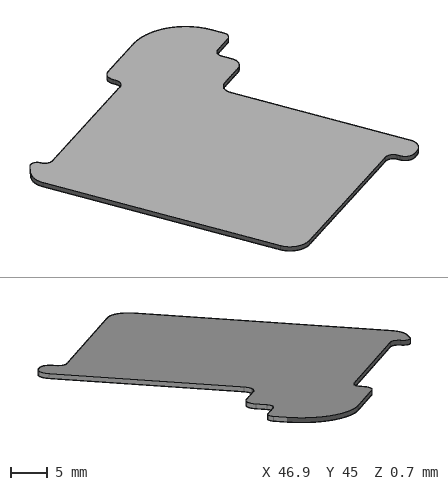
import cadquery as cq
import math

length = 46.86
width = 45.02
thickness = 0.7

panel_left = 3.17
panel_right = 43.7
panel_top = 31.9
shoulder_height = 27.7

arm_top_right = 11.05
arm_step_right = 15.6
arm_step_top = 39.65

foot_top = 4.38
foot_slope_start = 2.7
foot_slope_angle = 60.0
foot_slope_run = foot_top / math.tan(math.radians(foot_slope_angle))

arm_round = 8.0
panel_round = 3.0
tab_top_round = 2.0
shoulder_round = 1.5
arm_step_round = 1.8
small_round = 1.2
arm_tip_round = 1.1
foot_tip_round = 1.0

corners = [
    (foot_slope_start, 0, panel_round),
    (panel_right, 0, panel_round),
    (panel_right, shoulder_height, small_round),
    (length, shoulder_height, shoulder_round),
    (length, panel_top, tab_top_round),
    (arm_step_right, panel_top, arm_step_round),
    (arm_step_right, arm_step_top, arm_step_round),
    (arm_top_right, arm_step_top, small_round),
    (arm_top_right, width, arm_tip_round),
    (0, width, arm_round),
    (0, shoulder_height, shoulder_round),
    (panel_left, shoulder_height, small_round),
    (panel_left, foot_top, small_round),
    (foot_slope_start - foot_slope_run, foot_top, foot_tip_round),
]


def corner_arc(before, corner, after):
    """Return the start, middle and end of the arc that rounds a corner."""
    point = cq.Vector(corner[0], corner[1])
    radius = corner[2]
    to_before = (cq.Vector(before[0], before[1]) - point).normalized()
    to_after = (cq.Vector(after[0], after[1]) - point).normalized()
    half_angle = to_before.getAngle(to_after) / 2
    setback = radius / math.tan(half_angle)
    middle_distance = radius / math.sin(half_angle) - radius
    bisector = (to_before + to_after).normalized()
    start = point + to_before * setback
    middle = point + bisector * middle_distance
    end = point + to_after * setback
    return start, middle, end


def rounded_outline(points):
    """Return a closed outline with every corner rounded to its own radius."""
    count = len(points)
    arcs = [corner_arc(points[i - 1], points[i], points[(i + 1) % count]) for i in range(count)]
    outline = cq.Workplane("XY").moveTo(*arcs[-1][2].toTuple()[:2])
    for start, middle, end in arcs:
        outline = outline.lineTo(start.x, start.y).threePointArc((middle.x, middle.y), (end.x, end.y))
    return outline.close()


result = rounded_outline(corners).extrude(thickness)